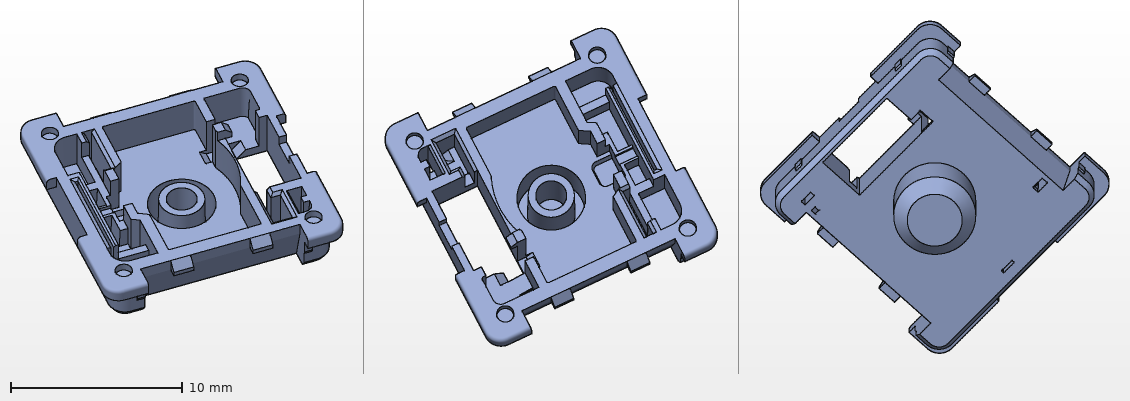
import cadquery as cq
import math


plate_side = 15.0
plate_corner_radius = 1.0
plate_thickness = 0.8
plate_rim_round = 0.24
tub_side = 13.8
tub_corner_radius = 1.05
tub_bottom = -3.0
tub_bevel_height = 0.45
tub_bevel_inset = 0.3
overcut = 0.75

end_notch_half = 2.49
side_relief_half = 5.0
side_face = 6.21
side_face_bottom = 5.64

peg_diameter = 4.8
peg_bottom = -6.3
peg_chamfer = 0.8
groove_diameter = 4.0
tube_diameter = 2.8
tube_top_diameter = 2.7
tube_bore = 1.8
tube_top = -2.0
bore_bottom = -5.4

main_floor = -2.4
pocket_floor = -2.5
deck_level = -1.2
end_wall_lean = 0.06
lip_depth = 0.2

well_half = 5.35
well_end = 6.21
main_half_y = 2.91
back_wall_y = 3.46
front_deck_y = -4.06
bar_back_y = -5.49
window_half = 2.73
shelf_x = 4.56


def block(x_span, y_span, z_span):
    """Axis-aligned box between three pairs of limits."""
    size = [high - low for low, high in (x_span, y_span, z_span)]
    low_corner = (x_span[0], y_span[0], z_span[0])
    return cq.Workplane("XY").box(*size, centered=False).translate(low_corner)


def profile_x(points, x_span):
    """Prism along X from a (y, z) outline."""
    return (cq.Workplane("YZ").workplane(offset=x_span[0])
            .polyline(points).close().extrude(x_span[1] - x_span[0]))


def profile_y(points, y_span):
    """Prism along Y from an (x, z) outline."""
    return (cq.Workplane("XZ").workplane(offset=-y_span[1])
            .polyline(points).close().extrude(y_span[1] - y_span[0]))


def funnel(top_x, top_y, bottom_x, bottom_y, z_span):
    """Four-sided hopper from a rectangle at the top to another one at the bottom."""
    def rectangle(plane, x_span, y_span):
        centre = (sum(x_span) / 2, sum(y_span) / 2)
        size = (x_span[1] - x_span[0], y_span[1] - y_span[0])
        return plane.center(*centre).rect(*size).center(-centre[0], -centre[1])

    bottom = rectangle(cq.Workplane("XY").workplane(offset=z_span[0]), bottom_x, bottom_y)
    top = rectangle(bottom.workplane(offset=z_span[1] - z_span[0]), top_x, top_y)
    return top.loft(ruled=True, combine=True)


def wall_lean(x_span, wall_y, top, foot):
    """Thin wedge that makes an end wall lean into its pocket toward the floor."""
    outline = [(wall_y, top), (wall_y, foot), (wall_y - end_wall_lean, foot)]
    return profile_x(outline, x_span)


def both_sides(shape, plane):
    """The shape together with its mirror image."""
    return shape.union(shape.mirror(plane))


def make_plate():
    plate = block((-plate_side / 2, plate_side / 2), (-plate_side / 2, plate_side / 2), (-plate_thickness, 0))
    plate = plate.edges("|Z").fillet(plate_corner_radius).faces(">Z").edges().fillet(plate_rim_round)
    notch = block((-end_notch_half, end_notch_half), (tub_side / 2, plate_side), (-plate_thickness, 0))
    return plate.cut(both_sides(notch, "XZ"))


def make_tub():
    tub = block((-tub_side / 2, tub_side / 2), (-tub_side / 2, tub_side / 2), (tub_bottom, 0))
    tub = tub.edges("|Z").fillet(tub_corner_radius)
    return tub.faces("<Z").edges().chamfer(tub_bevel_height, tub_bevel_inset)


def side_reliefs():
    outline = [(side_face, overcut), (side_face, -plate_thickness), (side_face_bottom, tub_bottom),
               (plate_side, tub_bottom), (plate_side, overcut)]
    return both_sides(profile_y(outline, (-side_relief_half, side_relief_half)), "YZ")


def make_peg():
    peg = cq.Workplane("XY").workplane(offset=peg_bottom).circle(peg_diameter / 2)
    return peg.extrude(main_floor - peg_bottom).faces("<Z").chamfer(peg_chamfer)


def side_tabs():
    tab_reach = 0.51
    tab_y = (1.86, 3.1)
    tip = side_face + tab_reach
    outline = [(side_face, 0), (tip, -tab_reach), (tip, -plate_thickness), (side_face, -plate_thickness)]
    return both_sides(both_sides(profile_y(outline, tab_y), "XZ"), "YZ")


def grip_ribs():
    """Small ribs under the plate corners that grip the mounting cut-out."""
    rib_width = 0.5
    rib_reach = 0.08
    rib_bottom = -1.78
    rib_slope_height = 0.2
    end_rib_x = 4.25
    wall = tub_side / 2
    outline = [(wall, -plate_thickness), (wall + rib_reach, -plate_thickness),
               (wall + rib_reach, rib_bottom + rib_slope_height), (wall, rib_bottom)]
    end_rib = profile_x(outline, (end_rib_x - rib_width / 2, end_rib_x + rib_width / 2))
    side_rib = profile_y(outline, (side_relief_half, side_relief_half + rib_width))
    return both_sides(both_sides(end_rib.union(side_rib), "XZ"), "YZ")


def corner_holes():
    hole_offset = 5.95
    hole_diameter = 1.0
    hole_depth = 0.5
    return (cq.Workplane("XY").rect(2 * hole_offset, 2 * hole_offset, forConstruction=True)
            .vertices().circle(hole_diameter / 2).extrude(-hole_depth))


def wall_bulge(low, high):
    """Shallow round bulge of the main cavity into the wall behind it."""
    bulge_half = 2.02
    bulge_top_y = 3.35
    return (cq.Workplane("XY").workplane(offset=low).moveTo(-bulge_half, main_half_y)
            .threePointArc((0, bulge_top_y), (bulge_half, main_half_y)).close().extrude(high - low))


def main_cavity():
    neck_half = 2.28
    throat_half = 1.92
    throat_y = -3.52
    slot_half = 1.06
    slot_end_y = -4.32
    corner_radius = 0.1
    cavity = block((-well_half, well_half), (-main_half_y, main_half_y), (main_floor, 0))
    cavity = cavity.edges("|Z").fillet(corner_radius)
    throat = (cq.Workplane("XY")
              .polyline([(-neck_half, -main_half_y), (-throat_half, throat_y),
                         (throat_half, throat_y), (neck_half, -main_half_y)])
              .close().extrude(main_floor))
    slot = block((-slot_half, slot_half), (slot_end_y, throat_y), (main_floor, 0))
    lamp_seat = make_lamp_seat(slot_end_y)
    return cavity.union(wall_bulge(main_floor, 0)).union(throat).union(slot).union(lamp_seat)


def make_lamp_seat(end_y):
    """Shallow round-cornered recess with leaning walls in the floor of the slot."""
    seat_half = 0.82
    seat_depth = 0.38
    seat_lean = 0.12
    seat_radius = 0.4
    lean_angle = math.degrees(math.atan(seat_lean / seat_depth))
    shoulder_y = -main_half_y - seat_radius
    crown_half = seat_half - seat_radius
    seat = (cq.Workplane("XY").workplane(offset=main_floor)
            .moveTo(-seat_half, end_y - overcut).lineTo(-seat_half, shoulder_y)
            .radiusArc((-crown_half, -main_half_y), seat_radius).lineTo(crown_half, -main_half_y)
            .radiusArc((seat_half, shoulder_y), seat_radius).lineTo(seat_half, end_y - overcut)
            .close().extrude(-seat_depth, taper=lean_angle))
    return seat.intersect(block((-seat_half, seat_half), (end_y, 0), (tub_bottom, 0)))


def spring_bore():
    return (cq.Workplane("XY").workplane(offset=bore_bottom)
            .circle(groove_diameter / 2).extrude(main_floor - bore_bottom))


def make_tube():
    """Tapered tube that stands in the spring bore and rises above the main floor."""
    outline = [(tube_bore / 2, bore_bottom), (tube_diameter / 2, bore_bottom),
               (tube_top_diameter / 2, tube_top), (tube_bore / 2, tube_top)]
    return cq.Workplane("XZ").polyline(outline).close().revolve(360, (0, 0), (0, 1))


def rear_window():
    """Opening through the floor, its stepped corner and the dip in the end wall."""
    window_end_y = 6.42
    dip_half = 0.82
    dip_depth = 0.6
    notch_x = (-3.52, -window_half)
    slope_top_y = 5.07
    slope_foot_y = slope_top_y - (main_floor - tub_bottom)
    window = block((-window_half, window_half), (back_wall_y, window_end_y), (tub_bottom, 0))
    dip = block((-dip_half, dip_half), (window_end_y, plate_side), (-dip_depth, 0))
    outline = [(back_wall_y, main_floor), (slope_top_y, main_floor),
               (slope_foot_y, tub_bottom), (back_wall_y, tub_bottom)]
    return window.union(dip).union(profile_x(outline, notch_x))


def rear_left_pocket():
    """Pocket beside the window with a corner pillar and a shallow ramp on its floor."""
    corner_radius = 0.5
    pillar_x = (-3.33, -window_half)
    pillar_y = 5.91
    pillar_root_radius = 0.14
    ramp_x = (-shelf_x, -3.52)
    ramp_foot_y = 4.35
    ramp_height = 0.21
    pocket = block((-well_half, -window_half), (back_wall_y, well_end), (main_floor, 0))
    pocket = pocket.edges("|Z and <X and >Y").fillet(corner_radius)
    pillar = block(pillar_x, (pillar_y, well_end), (main_floor, 0))
    ramp = profile_x([(back_wall_y, main_floor), (ramp_foot_y, main_floor),
                      (back_wall_y, main_floor + ramp_height)], ramp_x)
    pillar_root = cq.selectors.NearestToPointSelector((pillar_x[0], well_end, main_floor / 2))
    pocket = pocket.cut(pillar).edges(pillar_root).fillet(pillar_root_radius)
    lean = wall_lean((-well_half, pillar_x[0]), well_end, 0, main_floor)
    return pocket.cut(ramp).cut(lean)


def rear_corner_pocket():
    """Small pocket in the +X corner with a pillar, one sloping lip and a through hole."""
    pocket_x = (3.39, well_half)
    lip_y = 5.24
    foot_y = 5.37
    hole_end_y = 5.67
    pillar_x = (4.15, 4.62)
    pillar_y = 5.85
    corner_radius = 0.5
    pocket = block(pocket_x, (foot_y, well_end), (pocket_floor, 0))
    pocket = pocket.edges("|Z and >X and >Y").fillet(corner_radius)
    pocket = pocket.cut(block(pillar_x, (pillar_y, well_end), (pocket_floor, 0)))
    pocket = pocket.cut(wall_lean(pocket_x, well_end, 0, pocket_floor))
    lip = funnel(pocket_x, (lip_y, hole_end_y), pocket_x, (foot_y, hole_end_y), (-lip_depth, 0))
    hole = block((shelf_x, well_half), (foot_y, hole_end_y), (tub_bottom, 0))
    return pocket.union(lip).union(hole)


def rear_right_pocket():
    """Lipped pocket with a hopper in its corner and a gap toward the window."""
    lip_x, lip_y = (3.21, 5.6), (back_wall_y, 5.05)
    pocket_x, pocket_y = (3.4, well_half), (3.66, 4.86)
    hopper_y = 4.06
    hole_x, hole_y = 5.05, 4.56
    gap_y = 4.26
    gap_lip_y = 4.45
    gap_floor = -2.1
    pocket = block(pocket_x, pocket_y, (pocket_floor, 0))
    pocket = pocket.union(funnel(lip_x, lip_y, pocket_x, pocket_y, (-lip_depth, 0)))
    hopper = funnel((shelf_x, well_half), (hopper_y, pocket_y[1]),
                    (hole_x, well_half), (hole_y, pocket_y[1]), (tub_bottom, pocket_floor))
    gap_x = (window_half, pocket_x[0])
    gap = block(gap_x, (pocket_y[0], gap_y), (gap_floor, 0))
    gap_lip = funnel(gap_x, (back_wall_y, gap_lip_y), gap_x, (pocket_y[0], gap_y), (-lip_depth, 0))
    return pocket.union(hopper).union(gap).union(gap_lip)


def back_wall_slot():
    """Gap in the wall behind the main cavity, with a ramp down from the main floor."""
    slot_x = (-3.52, -2.54)
    ramp_start_y = 2.48
    slot_floor = -2.7
    outline = [(ramp_start_y, main_floor), (main_half_y, slot_floor), (back_wall_y, slot_floor),
               (back_wall_y, 0), (ramp_start_y, 0)]
    return profile_x(outline, slot_x)


def make_hook():
    """Upright hook that continues the wall and its bulge above the plate."""
    hook_x = (-2.54, -1.86)
    hook_top = 0.7
    hook_nose_y = 3.88
    nose_bevel_height = 0.36
    outline = [(main_half_y, 0), (main_half_y, hook_top), (back_wall_y, hook_top),
               (hook_nose_y, hook_top - nose_bevel_height), (hook_nose_y, 0)]
    return profile_x(outline, hook_x).cut(wall_bulge(0, hook_top))


def front_left_pocket():
    """Lipped pocket along the main cavity, with a through hole at its outer end."""
    lip_x, lip_y = (-well_half, -1.98), (-4.2, -3.39)
    pocket_x, pocket_y = (-well_half, -2.19), (-4.0, -3.58)
    pocket = block(pocket_x, pocket_y, (pocket_floor, 0))
    hole = block((-well_half, -shelf_x), pocket_y, (tub_bottom, 0))
    lip = funnel(lip_x, lip_y, pocket_x, pocket_y, (-lip_depth, 0))
    deck_gap = profile_x([(pocket_y[0], pocket_floor), (pocket_y[0], 0),
                          (front_deck_y, 0), (front_deck_y, deck_level)], (-shelf_x, pocket_x[1]))
    return pocket.union(hole).union(lip).union(deck_gap)


def front_wells():
    """Deck, the deeper pockets around it and the slotted bar along the end wall."""
    corner_radius = 0.98
    left_well_x, left_well_back = (-well_half, -2.4), -4.5
    bar_end_x = 3.9
    rib_x = 3.4
    right_back_y = -3.58
    step_x, step_foot_x = 2.5, 2.24
    deep_pocket_x = (-1.86, -0.44)
    deep_pocket_y = -4.56
    spine_x = 0.46
    right_deck_x = 1.8
    slot_lip_depth = 0.1
    deck_groove_half = 0.3
    deck_groove_depth = 0.22
    deck_groove_back = -4.32

    deck = block((-shelf_x, step_foot_x), (bar_back_y, front_deck_y), (deck_level, 0))
    deck = deck.cut(block((-shelf_x, left_well_x[1]), (bar_back_y, left_well_back), (deck_level, 0)))
    left_well = block(left_well_x, (-well_end, left_well_back), (pocket_floor, 0))
    left_well = left_well.edges("|Z and <X and <Y").fillet(corner_radius)
    right_well = block((bar_end_x, well_half), (-well_end, right_back_y), (pocket_floor, 0))
    right_well = right_well.edges("|Z and >X and <Y").fillet(corner_radius)
    rib_gap = block((rib_x, bar_end_x), (bar_back_y, right_back_y), (deck_level, 0))
    middle_well = (cq.Workplane("XY")
                   .polyline([(right_deck_x, front_deck_y), (step_foot_x, front_deck_y),
                              (step_x, right_back_y), (rib_x, right_back_y), (rib_x, bar_back_y),
                              (spine_x, bar_back_y), (spine_x, deep_pocket_y),
                              (right_deck_x, deep_pocket_y)])
                   .close().extrude(pocket_floor))
    deep_pocket = block(deep_pocket_x, (bar_back_y, deep_pocket_y), (pocket_floor, 0))
    deep_pocket = deep_pocket.cut(wall_lean(deep_pocket_x, deep_pocket_y, deck_level, pocket_floor))
    middle_lean = wall_lean((spine_x, right_deck_x), deep_pocket_y, deck_level, pocket_floor)
    middle_well = middle_well.cut(middle_lean)
    deck_groove = block((-deck_groove_half, deck_groove_half), (bar_back_y, deck_groove_back),
                        (deck_level - deck_groove_depth, deck_level))
    wells = deck.union(left_well).union(right_well).union(rib_gap).union(middle_well)
    wells = wells.union(deep_pocket).union(deck_groove)

    slot_lip_x, slot_lip_y = (-2.07, bar_end_x), (-well_end, -5.67)
    slot_x, slot_y = (deep_pocket_x[0], bar_end_x), (-5.97, -5.79)
    slot_lip = funnel(slot_lip_x, slot_lip_y, slot_x, slot_y, (-slot_lip_depth, 0))
    slot = block((slot_x[0], rib_x), slot_y, (pocket_floor, 0))
    slot_end = block((rib_x, bar_end_x), slot_y, (deck_level, 0))
    slot_hole = block((deep_pocket_x[1], spine_x), slot_y, (tub_bottom, 0))
    return wells.union(slot_lip).union(slot).union(slot_end).union(slot_hole)


body = make_plate().union(make_tub()).cut(side_reliefs())
body = body.union(make_peg()).union(side_tabs()).union(grip_ribs())

cavities = [corner_holes(), main_cavity(), spring_bore(), rear_window(), rear_left_pocket(),
            rear_corner_pocket(), rear_right_pocket(), back_wall_slot(), front_left_pocket(),
            front_wells()]
for cavity in cavities:
    body = body.cut(cavity)

result = body.union(make_tube()).union(make_hook())